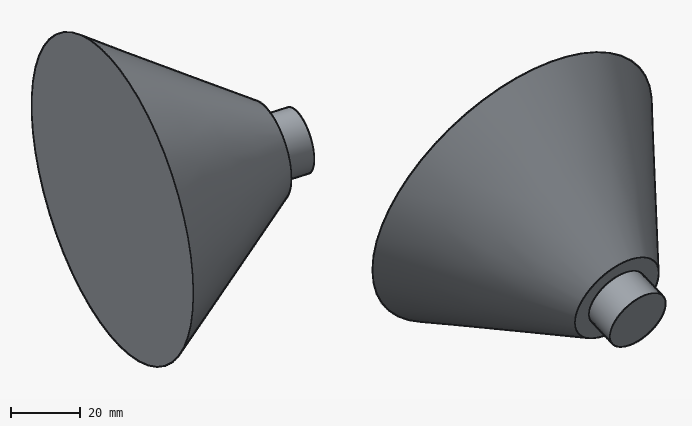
import cadquery as cq

base_diameter = 100.0
shoulder_diameter = 30.0
cone_length = 50.0
stub_diameter = 20.0
stub_length = 10.0

base_radius = base_diameter / 2
shoulder_radius = shoulder_diameter / 2
stub_radius = stub_diameter / 2
total_length = cone_length + stub_length

half_section = (
    cq.Workplane("XY")
    .moveTo(0, 0)
    .lineTo(base_radius, 0)
    .lineTo(shoulder_radius, cone_length)
    .lineTo(stub_radius, cone_length)
    .lineTo(stub_radius, total_length)
    .lineTo(0, total_length)
    .close()
)

result = half_section.revolve(360, (0, 0, 0), (0, 1, 0))